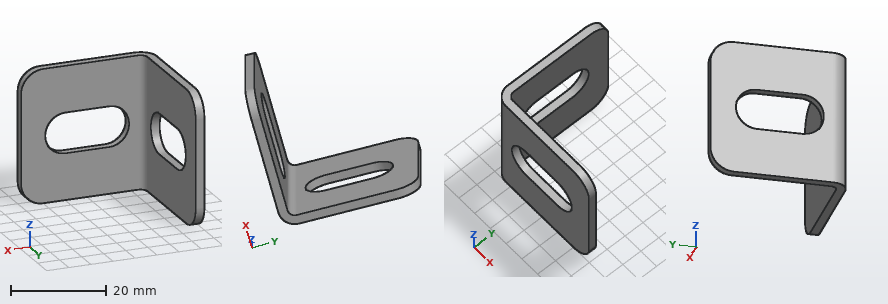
import cadquery as cq

side = 30.0
thickness = 2.0
inner_bend_radius = 1.55
corner_radius = 5.0
slot_length = 19.0
slot_width = 9.05

outer_bend_radius = inner_bend_radius + thickness
middle = side / 2


def bent_sheet():
    """L-shaped sheet with its outer faces on X = 0 and Y = 0."""
    outer = cq.Workplane("XY").box(side, side, side, centered=False)
    outer = outer.edges("|Z and <X and <Y").fillet(outer_bend_radius)
    inside = (
        cq.Workplane("XY")
        .box(side, side, side, centered=False)
        .edges("|Z and <X and <Y")
        .fillet(inner_bend_radius)
        .translate((thickness, thickness, 0))
    )
    return outer.cut(inside)


def slot_cutter(plane):
    """Horizontal slot at the middle of a leg, reaching through its thickness."""
    return (
        cq.Workplane(plane)
        .center(middle, middle)
        .slot2D(slot_length, slot_width)
        .extrude(2 * thickness, both=True)
    )


bracket = bent_sheet()

bracket = bracket.edges("|Y and >X").fillet(corner_radius)
bracket = bracket.edges("|X and >Y").fillet(corner_radius)

for leg_plane in ("XZ", "YZ"):
    bracket = bracket.cut(slot_cutter(leg_plane))

result = bracket